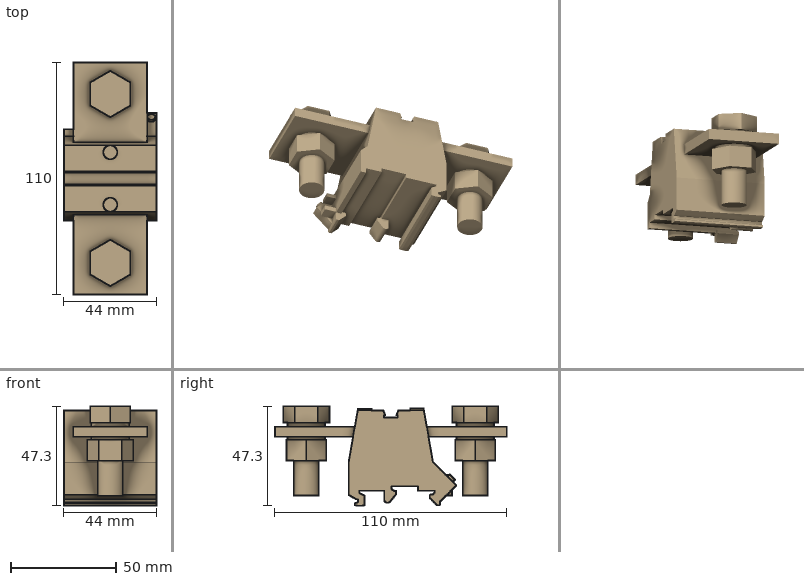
import cadquery as cq
import math


housing_width = 44.0
top_z = 45.3
top_half_length = 15.7
shoulder_y = 20.0
shoulder_z = 20.8
rear_wall_y = 23.4
leg_inner_y = 20.8
leg_bottom_z = 4.5
base_z = 7.2
recess_z = 9.2
recess_rear_y = 12.9
recess_front_y = 0.4

foot_throat_y = -14.8
foot_throat_z = 6.2
foot_inner_y = -12.4
foot_inner_top_z = 4.8
foot_heel_z = 0.2
foot_sole_inner_y = -13.6
foot_sole_outer_y = -15.8
foot_neck_y = -15.6
foot_notch_top_z = 3.1
foot_notch_bottom_z = 1.8
foot_toe_y = -17.2
foot_toe_bottom_z = 0.3
foot_toe_top_z = 1.2
foot_notch_outer_y = -16.4
foot_outer_z = 5.2

groove_mouth_half = 3.5
groove_lip_half = 2.6
groove_floor_half = 3.2
groove_lip_z = 42.9
groove_floor_z = 41.9

stud_radius = 3.3
stud_y = top_half_length - stud_radius
rear_stud_height = 1.0
front_stud_height = 0.7

busbar_length = 110.0
busbar_width = 35.0
busbar_thickness = 5.0
busbar_bottom_z = 32.7

bolt_y = 40.0
across_flats = 19.0
across_corners = across_flats / math.cos(math.radians(30))
head_top_z = 47.3
head_bottom_z = 39.5
washer_diameter = 17.9
nut_top_z = 31.4
nut_bottom_z = 21.5
shank_diameter = 12.0
shank_bottom_z = 4.8

tab_thickness = 5.2
hook_thickness = 10.7
clamp_outer_x = housing_width / 2
tab_inner_x = clamp_outer_x - tab_thickness
hook_inner_x = clamp_outer_x - hook_thickness
clamp_tip_y = 31.1
clamp_top_z = shoulder_z + shoulder_y - rear_wall_y
clamp_tip_z = clamp_top_z - (clamp_tip_y - rear_wall_y)
clamp_heel_z = clamp_tip_z - (clamp_tip_y - rear_wall_y)

hook_nose_y = 18.4
hook_nose_bottom_z = 3.8
hook_top_z = 5.5
hook_bottom_z = 0.2
hook_nose_chamfer = 0.5
hook_toe_chamfer = 0.4
hook_toe_y = 21.9
hook_throat_y = 19.9
hook_throat_z = 6.5

tooth_rear_y = 2.5
tooth_front_y = -3.2
tooth_corner_z = 5.5
tooth_radius = 1.6
tooth_bottom_z = 1.4
tooth_root_z = 8.0
tooth_neck_y = 1.5

button_radius = 1.9
button_height = 1.4
button_y = 28.2

upper_guide_y = 28.0
upper_guide_bottom_z = 12.9
upper_guide_top_z = 14.8
lower_guide_y = 29.0
lower_guide_bottom_z = 4.8
wedge_depth = 2.2
wedge_rear_y = 27.5
wedge_rear_top_z = 8.5
wedge_peak_y = 24.4
wedge_peak_z = 9.1
wedge_front_y = 24.6


def prism(points, x_start, x_end):
    """Closed polygon of (y, z) points, extruded from x_start to x_end."""
    return cq.Workplane("YZ").workplane(offset=x_start).polyline(points).close().extrude(x_end - x_start)


def cylinder(diameter, y, z_bottom, z_top):
    return cq.Workplane("XY", origin=(0, y, z_bottom)).circle(diameter / 2).extrude(z_top - z_bottom)


def hexagon(y, z_bottom, z_top, turn):
    """Hexagonal prism; with no turn, two of its corners point along X."""
    blank = cq.Workplane("XY").polygon(6, across_corners).extrude(z_top - z_bottom)
    return blank.rotate((0, 0, 0), (0, 0, 1), turn).translate((0, y, z_bottom))


def make_housing():
    top_and_groove = [
        (-top_half_length, top_z),
        (-groove_mouth_half, top_z),
        (-groove_lip_half, groove_lip_z),
        (-groove_floor_half, groove_lip_z),
        (-groove_floor_half, groove_floor_z),
        (groove_floor_half, groove_floor_z),
        (groove_floor_half, groove_lip_z),
        (groove_lip_half, groove_lip_z),
        (groove_mouth_half, top_z),
        (top_half_length, top_z),
    ]
    rear_and_underside = [
        (shoulder_y, shoulder_z),
        (rear_wall_y, clamp_top_z),
        (rear_wall_y, leg_bottom_z),
        (leg_inner_y, leg_bottom_z),
        (leg_inner_y, base_z),
        (recess_rear_y, base_z),
        (recess_rear_y, recess_z),
        (recess_front_y, recess_z),
        (recess_front_y, base_z),
    ]
    fixed_rail_foot = [
        (foot_throat_y, base_z),
        (foot_throat_y, foot_throat_z),
        (foot_inner_y, foot_inner_top_z),
        (foot_inner_y, foot_heel_z),
        (foot_sole_inner_y, 0),
        (foot_sole_outer_y, 0),
        (foot_toe_y, foot_toe_bottom_z),
        (foot_toe_y, foot_toe_top_z),
        (foot_neck_y, foot_notch_bottom_z),
        (foot_neck_y, foot_notch_top_z),
        (foot_notch_outer_y, foot_notch_top_z),
        (-shoulder_y, foot_outer_z),
        (-shoulder_y, shoulder_z),
    ]
    outline = top_and_groove + rear_and_underside + fixed_rail_foot
    return prism(outline, -housing_width / 2, housing_width / 2)


def make_busbar():
    return cq.Workplane("XY", origin=(0, 0, busbar_bottom_z)).box(
        busbar_width, busbar_length, busbar_thickness, centered=(True, True, False)
    )


def make_bolt(y):
    head = hexagon(y, head_bottom_z, head_top_z, 30)
    washers = cylinder(washer_diameter, y, nut_top_z, head_bottom_z)
    nut = hexagon(y, nut_bottom_z, nut_top_z, 0)
    shank = cylinder(shank_diameter, y, shank_bottom_z, nut_bottom_z)
    return head.union(washers).union(nut).union(shank)


def make_clamp_tab():
    outline = [
        (leg_inner_y, clamp_heel_z),
        (rear_wall_y, clamp_heel_z),
        (clamp_tip_y, clamp_tip_z),
        (rear_wall_y, clamp_top_z),
        (leg_inner_y, clamp_top_z),
    ]
    return prism(outline, tab_inner_x, clamp_outer_x)


def make_clamp_hook():
    outline = [
        (rear_wall_y, base_z),
        (rear_wall_y, hook_bottom_z + hook_toe_chamfer),
        (rear_wall_y - hook_toe_chamfer, hook_bottom_z),
        (hook_toe_y, hook_bottom_z),
        (hook_nose_y, hook_nose_bottom_z),
        (hook_nose_y, hook_top_z - hook_nose_chamfer),
        (hook_nose_y + hook_nose_chamfer, hook_top_z),
        (hook_throat_y, hook_top_z),
        (leg_inner_y, hook_throat_z),
        (leg_inner_y, base_z),
    ]
    return prism(outline, hook_inner_x, clamp_outer_x)


def make_clamp_tooth():
    arc_y = tooth_front_y + tooth_radius
    arc_z = tooth_bottom_z + tooth_radius
    corner_dy = tooth_rear_y - arc_y
    corner_dz = tooth_corner_z - arc_z
    corner_distance = math.hypot(corner_dy, corner_dz)
    tangent_angle = math.atan2(corner_dz, corner_dy) - math.acos(tooth_radius / corner_distance)
    middle_angle = (tangent_angle - math.pi) / 2

    def arc_point(angle):
        return (arc_y + tooth_radius * math.cos(angle), arc_z + tooth_radius * math.sin(angle))

    return (
        cq.Workplane("YZ")
        .workplane(offset=hook_inner_x)
        .moveTo(tooth_front_y, tooth_root_z)
        .lineTo(tooth_front_y, arc_z)
        .threePointArc(arc_point(middle_angle), arc_point(tangent_angle))
        .lineTo(tooth_rear_y, tooth_corner_z)
        .lineTo(tooth_rear_y, base_z)
        .lineTo(tooth_neck_y, base_z)
        .lineTo(recess_front_y, tooth_root_z)
        .close()
        .extrude(hook_thickness)
    )


def make_button():
    slope_z = clamp_tip_z + clamp_tip_y - button_y
    middle_x = (tab_inner_x + clamp_outer_x) / 2
    face = cq.Plane(origin=(middle_x, button_y, slope_z), xDir=(1, 0, 0), normal=(0, 1, 1))
    return cq.Workplane(face).circle(button_radius).extrude(button_height)


def make_guide(y_end, z_bottom, z_top):
    outline = [(leg_inner_y, z_bottom), (y_end, z_bottom), (y_end, z_top), (leg_inner_y, z_top)]
    return prism(outline, hook_inner_x, tab_inner_x)


def make_wedge():
    outline = [
        (wedge_rear_y, base_z),
        (wedge_rear_y, wedge_rear_top_z),
        (wedge_peak_y, wedge_peak_z),
        (wedge_front_y, base_z),
    ]
    return prism(outline, tab_inner_x - wedge_depth, tab_inner_x)


result = make_housing().union(make_busbar())
for side in (-1, 1):
    result = result.union(make_bolt(side * bolt_y))
for y, height in ((stud_y, rear_stud_height), (-stud_y, front_stud_height)):
    result = result.union(cylinder(2 * stud_radius, y, top_z, top_z + height))
result = result.union(make_clamp_tab()).union(make_clamp_hook())
result = result.union(make_clamp_tooth()).union(make_button())
result = result.union(make_guide(upper_guide_y, upper_guide_bottom_z, upper_guide_top_z))
result = result.union(make_guide(lower_guide_y, lower_guide_bottom_z, base_z))
result = result.union(make_wedge())